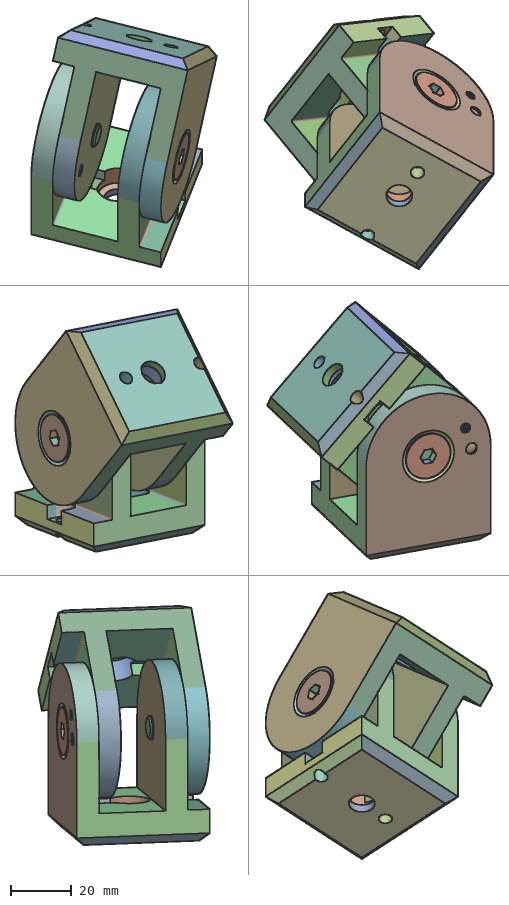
import cadquery as cq
import math


width = 45.0
ear_radius = width / 2
ear_thickness = width / 6
base_bottom = -35.0
base_top = -24.0
base_chamfer = 3.0
root_radius = 0.5
outer_ear_start = -width / 2
inner_ear_start = ear_thickness
tilt = 135

main_hole_diameter = 8.5
main_bore_diameter = 13.5
main_bore_depth = 8.0
side_hole_diameter = 4.5
side_slot_width = 8.0
side_slot_depth = 4.8

head_diameter = 16.0
shank_diameter = 8.0
tip_diameter = 6.8
head_rim_height = 0.5
tip_protrusion = 1.1
head_cone_height = (head_diameter - shank_diameter) / 2
tip_chamfer = (shank_diameter - tip_diameter) / 2
countersink_diameter = 18.5
pivot_socket_flats = 5.0
pivot_socket_depth = 3.0

lock_circle_radius = 15.5
set_screw_angle = 30
pin_diameter = 4.0
pin_length = 2 * ear_thickness
pin_shift = 0.15
pin_dome_radius = pin_diameter
set_screw_diameter = 3.0
set_screw_hole_diameter = 3.3
set_screw_recess = 0.15
set_screw_chamfer = 0.45
set_socket_flats = 1.5
set_socket_depth = 1.5
drill_point_height = 0.45


def x_cylinder(diameter, x_start, x_end, y=0, z=0):
    """Cylinder along X between two X positions."""
    return (
        cq.Workplane("YZ", origin=(x_start, 0, 0))
        .center(y, z)
        .circle(diameter / 2)
        .extrude(x_end - x_start)
    )


def hex_socket(flats, depth, x_start, y=0, z=0):
    """Hexagonal prism along +X with a flat side on top."""
    corner_diameter = flats / math.cos(math.radians(30))
    return (
        cq.Workplane("YZ", origin=(x_start, 0, 0))
        .center(y, z)
        .polygon(6, corner_diameter)
        .extrude(depth)
    )


def base_plate():
    return (
        cq.Workplane("XY", origin=(0, 0, base_bottom))
        .rect(width, width)
        .extrude(base_top - base_bottom)
        .faces("<Z")
        .chamfer(base_chamfer)
    )


def ear(x_start):
    """Round-topped ear with a small fillet at the root of its +X face."""
    plate = (
        cq.Workplane("YZ", origin=(x_start, 0, 0))
        .moveTo(-ear_radius, base_top)
        .lineTo(-ear_radius, 0)
        .threePointArc((0, ear_radius), (ear_radius, 0))
        .lineTo(ear_radius, base_top)
        .close()
        .extrude(ear_thickness)
    )
    x_end = x_start + ear_thickness
    arc_inset = root_radius * (1 - math.sqrt(0.5))
    root = (
        cq.Workplane("XZ", origin=(0, ear_radius, 0))
        .moveTo(x_end, base_top)
        .lineTo(x_end + root_radius, base_top)
        .threePointArc((x_end + arc_inset, base_top + arc_inset), (x_end, base_top + root_radius))
        .close()
        .extrude(width)
    )
    return plate.union(root)


def main_mounting_hole():
    """Central through hole, counterbored from the inner face of the plate."""
    floor = base_top - main_bore_depth
    hole = (
        cq.Workplane("XY", origin=(0, 0, base_bottom))
        .circle(main_hole_diameter / 2)
        .extrude(base_top - base_bottom)
    )
    bore = (
        cq.Workplane("XY", origin=(0, 0, floor))
        .circle(main_bore_diameter / 2)
        .extrude(main_bore_depth)
    )
    return hole.union(bore)


def side_mounting_hole(ear_face, slot_end):
    """Through hole whose slot touches the ear face and runs on along +X to slot_end."""
    radius = side_slot_width / 2
    x = ear_face + radius
    hole = (
        cq.Workplane("XY", origin=(x, 0, base_bottom))
        .circle(side_hole_diameter / 2)
        .extrude(base_top - base_bottom)
    )
    slot = (
        cq.Workplane("XY", origin=(0, 0, base_top))
        .moveTo(slot_end, radius)
        .lineTo(x, radius)
        .threePointArc((ear_face, 0), (x, -radius))
        .lineTo(slot_end, -radius)
        .close()
        .extrude(-side_slot_depth)
    )
    return hole.union(slot)


def countersink():
    """90 degree cone sunk into the outer ear face, slightly wider than the screw head."""
    mouth_radius = countersink_diameter / 2
    return (
        cq.Workplane("XY")
        .moveTo(outer_ear_start, 0)
        .lineTo(outer_ear_start, mouth_radius)
        .lineTo(outer_ear_start + mouth_radius, 0)
        .close()
        .revolve(360, (0, 0, 0), (1, 0, 0))
    )


def bracket():
    """Bracket with its base plate down."""
    body = base_plate().union(ear(outer_ear_start)).union(ear(inner_ear_start))
    body = body.cut(main_mounting_hole())
    body = body.cut(side_mounting_hole(outer_ear_start + ear_thickness, 0))
    body = body.cut(side_mounting_hole(inner_ear_start + ear_thickness, width / 2))
    body = body.cut(x_cylinder(shank_diameter, -width / 2, width / 2))
    return body.cut(countersink())


def pivot_screw():
    """Countersunk socket screw along +X, its head in the outer ear."""
    head_face = outer_ear_start
    cone_start = head_face + head_rim_height
    tip = outer_ear_start + 2 * ear_thickness + tip_protrusion
    blank = (
        cq.Workplane("XY")
        .moveTo(head_face, 0)
        .lineTo(head_face, head_diameter / 2)
        .lineTo(cone_start, head_diameter / 2)
        .lineTo(cone_start + head_cone_height, shank_diameter / 2)
        .lineTo(tip - tip_chamfer, shank_diameter / 2)
        .lineTo(tip, tip_diameter / 2)
        .lineTo(tip, 0)
        .close()
        .revolve(360, (0, 0, 0), (1, 0, 0))
    )
    return blank.cut(hex_socket(pivot_socket_flats, pivot_socket_depth, head_face))


def dowel_pin(y, z):
    """Pin with a shallow dome at each end."""
    start = outer_ear_start + pin_shift
    end = start + pin_length
    radius = pin_diameter / 2
    dome_height = pin_dome_radius - math.sqrt(pin_dome_radius**2 - radius**2)
    half_angle = math.asin(radius / pin_dome_radius) / 2
    mid_radius = pin_dome_radius * math.sin(half_angle)
    mid_height = pin_dome_radius * (1 - math.cos(half_angle))
    return (
        cq.Workplane("XY")
        .moveTo(start, 0)
        .threePointArc((start + mid_height, mid_radius), (start + dome_height, radius))
        .lineTo(end - dome_height, radius)
        .threePointArc((end - mid_height, mid_radius), (end, 0))
        .close()
        .revolve(360, (0, 0, 0), (1, 0, 0))
        .translate((0, y, z))
    )


def set_screw(y, z):
    """Headless screw with a chamfered end and a hexagonal socket ending in a drill point."""
    start = outer_ear_start + set_screw_recess
    end = outer_ear_start + ear_thickness
    socket_floor = start + set_socket_depth
    body = x_cylinder(set_screw_diameter, start, end, y, z).faces("<X").chamfer(set_screw_chamfer)
    drill_point = cq.Workplane(
        cq.Solid.makeCone(
            set_socket_flats / 2,
            0,
            drill_point_height,
            pnt=cq.Vector(socket_floor, y, z),
            dir=cq.Vector(1, 0, 0),
        )
    )
    return body.cut(hex_socket(set_socket_flats, set_socket_depth, start, y, z)).cut(drill_point)


def swing_to_upper(body):
    """Turn a body of the lower bracket end for end and tilt it into the upper place."""
    return body.rotate((0, 0, 0), (0, 0, 1), 180).rotate((0, 0, 0), (1, 0, 0), tilt)


pin_y = -lock_circle_radius
pin_z = 0
set_screw_y = -lock_circle_radius * math.cos(math.radians(set_screw_angle))
set_screw_z = lock_circle_radius * math.sin(math.radians(set_screw_angle))

pin_hole = x_cylinder(pin_diameter, outer_ear_start, outer_ear_start + 2 * ear_thickness, pin_y, pin_z)
set_screw_hole = x_cylinder(
    set_screw_hole_diameter, outer_ear_start, outer_ear_start + ear_thickness, set_screw_y, set_screw_z
)

lower_bracket = bracket().cut(pin_hole).cut(set_screw_hole)
upper_bracket = swing_to_upper(bracket()).cut(pin_hole)
pivot_screws = [pivot_screw(), swing_to_upper(pivot_screw())]

result = cq.Compound.makeCompound(
    [
        lower_bracket.val(),
        upper_bracket.val(),
        *[screw.val() for screw in pivot_screws],
        dowel_pin(pin_y, pin_z).val(),
        set_screw(set_screw_y, set_screw_z).val(),
    ]
)